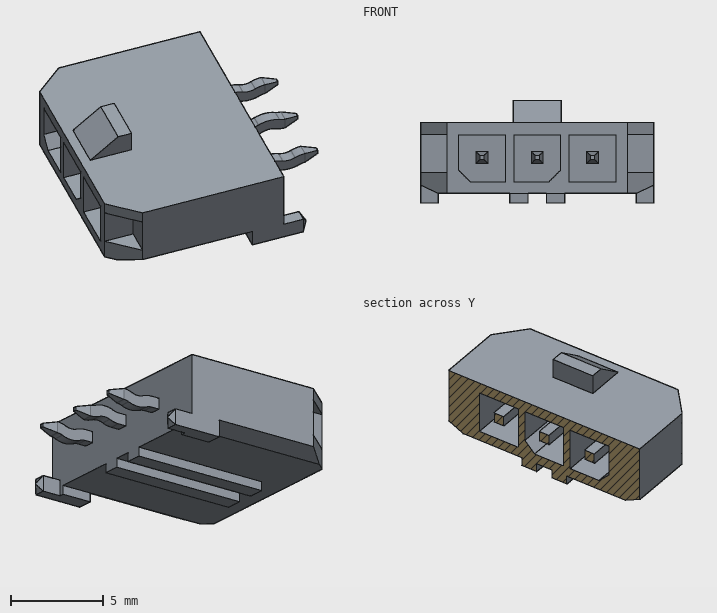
import cadquery as cq
import math


overall_length = 13.08
overall_height = 5.57
housing_width = 12.65
housing_depth = 9.87
housing_height = 3.86
half_width = housing_width / 2

corner_width = 1.43
corner_depth = 1.66
corner_notch_bottom = 1.14
corner_notch_top = 3.19

contact_pitch = 3.0
cavity_size = 2.54
cavity_bottom = 0.63
cavity_depth = 8.0
cavity_key_chamfer = 0.64

latch_width = 2.62
latch_height = 1.19
latch_toe_y = 0.55
latch_crest_y = 2.17
latch_rear_y = 2.95

foot_height = overall_height - housing_height - latch_height
rib_width = 1.0
rib_offset = 1.0
rib_front_y = 1.56
foot_width = 0.96
foot_front_y = 8.03
bevel_height = 0.46

peg_width = 0.68
peg_top = 0.40
peg_end_y = 11.0
peg_point_length = 0.29

pin_size = 0.64
pin_z = 1.95
pin_front_y = 2.5
tip_size = 0.22
tip_length = 0.83
tail_taper_y = overall_length - tip_length

kink_gap = 0.51
kink_start_y = housing_depth + kink_gap
kink_angle = math.radians(23)
kink_half_length = (tail_taper_y - kink_start_y) / 2
radius_sum = kink_half_length / math.sin(kink_angle)
crown_radius = 1.24
blend_radius = radius_sum - crown_radius


def box(x_min, x_max, y_min, y_max, z_min, z_max):
    """Axis-aligned block between the given limits."""
    size = (x_max - x_min, y_max - y_min, z_max - z_min)
    return cq.Workplane("XY").box(*size, centered=False).translate((x_min, y_min, z_min))


def mirrored_pair(shape):
    """A left-hand feature together with its right-hand mirror image."""
    return shape.union(shape.mirror("YZ"))


def pin_tip(x, base_y, tip_y):
    """Square taper along Y from the full pin section at base_y to the small flat at tip_y."""
    length = tip_y - base_y
    plane = cq.Plane(origin=(x, base_y, pin_z), xDir=(1, 0, 0), normal=(0, math.copysign(1, length), 0))
    base = cq.Workplane(plane).rect(pin_size, pin_size)
    return base.workplane(offset=abs(length)).rect(tip_size, tip_size).loft(ruled=True)


def make_housing():
    """Block with its two front vertical corners cut off."""
    outline = [
        (-half_width, housing_depth),
        (-half_width, corner_depth),
        (-half_width + corner_width, 0),
        (half_width - corner_width, 0),
        (half_width, corner_depth),
        (half_width, housing_depth),
    ]
    return cq.Workplane("XY").polyline(outline).close().extrude(housing_height)


def make_corner_notch():
    """Square-cornered recess that cuts into the left front corner."""
    inner_x = -half_width + corner_width
    return box(-half_width, inner_x, 0, corner_depth, corner_notch_bottom, corner_notch_top)


def make_underside_bevel():
    """Wedge removed from the left bottom edge, ahead of the foot."""
    section = [(-half_width, 0), (-half_width + foot_width, 0), (-half_width, bevel_height)]
    return cq.Workplane("XZ").polyline(section).close().extrude(-foot_front_y)


def make_cavity(x, key_edges):
    """Square cavity; key_edges selects the long edges to chamfer, or None for a plain one."""
    half = cavity_size / 2
    top = cavity_bottom + cavity_size
    cavity = box(x - half, x + half, 0, cavity_depth, cavity_bottom, top)
    if key_edges is None:
        return cavity
    return cavity.edges(key_edges).chamfer(cavity_key_chamfer)


def make_latch():
    """Ramp rising from the mating face to a flat crest."""
    top = housing_height + latch_height
    profile = [
        (latch_toe_y, housing_height),
        (latch_crest_y, top),
        (latch_rear_y, top),
        (latch_rear_y, housing_height),
    ]
    return cq.Workplane("YZ").polyline(profile).close().extrude(latch_width / 2, both=True)


def make_rib():
    """Left of the two standoff ribs under the middle of the housing."""
    inner_x = -rib_offset + rib_width / 2
    return box(inner_x - rib_width, inner_x, rib_front_y, housing_depth, -foot_height, 0)


def make_foot():
    """Left foot at the rear of the underside, with its pointed locating peg."""
    foot = box(-half_width, -half_width + foot_width, foot_front_y, housing_depth, -foot_height, peg_top)
    peg = box(-half_width, -half_width + peg_width, housing_depth, peg_end_y, -foot_height, peg_top)
    return foot.union(peg).union(make_peg_point())


def make_peg_point():
    """Pyramid on the end of the left peg, formed where two triangular prisms cross."""
    inner_x = -half_width + peg_width
    middle_x = -half_width + peg_width / 2
    middle_z = (peg_top - foot_height) / 2
    apex_y = peg_end_y + peg_point_length
    plan = [(-half_width, peg_end_y), (inner_x, peg_end_y), (middle_x, apex_y)]
    side = [(peg_end_y, -foot_height), (peg_end_y, peg_top), (apex_y, middle_z)]
    plan_prism = cq.Workplane("XY").polyline(plan).close().extrude(housing_height, both=True)
    side_prism = cq.Workplane("YZ").polyline(side).close().extrude(housing_width, both=True)
    return plan_prism.intersect(side_prism)


def kink_edge(offset):
    """The seven points of one long edge of a kink bowing towards +Z, from front to rear.

    They are the start, middle and end of three arcs joined end to end. The offset is the
    height of the edge above the pin axis where the pin is straight.
    """
    blend = blend_radius - offset
    crown = crown_radius + offset
    crest_y = kink_start_y + kink_half_length
    crest_z = offset + (blend + crown) * (1 - math.cos(kink_angle))

    def on_first_blend(angle):
        return (kink_start_y + blend * math.sin(angle), offset + blend * (1 - math.cos(angle)))

    rising = [on_first_blend(angle) for angle in (0, kink_angle / 2, kink_angle)]
    falling = [(2 * crest_y - y, z) for y, z in reversed(rising)]
    return rising + [(crest_y, crest_z)] + falling


def add_arcs(sketch, points):
    """Continue a sketch with a line to the first point, then arcs through the others."""
    sketch = sketch.lineTo(*points[0])
    for middle, end in zip(points[1::2], points[2::2]):
        sketch = sketch.threePointArc(middle, end)
    return sketch


def make_pin(x, bow):
    """Square contact pin along Y; bow is +1 for a kink towards +Z and -1 towards -Z."""
    half = pin_size / 2
    shank_front_y = pin_front_y + tip_length
    profile = cq.Workplane("YZ").moveTo(shank_front_y, half)
    profile = add_arcs(profile, kink_edge(half))
    profile = add_arcs(profile, kink_edge(-half)[::-1])
    shank = profile.lineTo(shank_front_y, -half).close().extrude(half, both=True)
    if bow < 0:
        shank = shank.mirror("XY")
    shank = shank.translate((x, 0, pin_z))

    front_tip = pin_tip(x, shank_front_y, pin_front_y)
    tail_tip = pin_tip(x, tail_taper_y, overall_length)
    return shank.union(front_tip).union(tail_tip)


contacts = [
    (-1, "(<X and <Z) and |Y", -1),
    (0, "(>X and <Z) and |Y", 1),
    (1, None, -1),
]

result = make_housing()
result = result.cut(mirrored_pair(make_corner_notch()))
result = result.cut(mirrored_pair(make_underside_bevel()))
result = result.union(make_latch())
result = result.union(mirrored_pair(make_rib()))
result = result.union(mirrored_pair(make_foot()))
for step, key_edges, _ in contacts:
    result = result.cut(make_cavity(step * contact_pitch, key_edges))
for step, _, bow in contacts:
    result = result.union(make_pin(step * contact_pitch, bow))